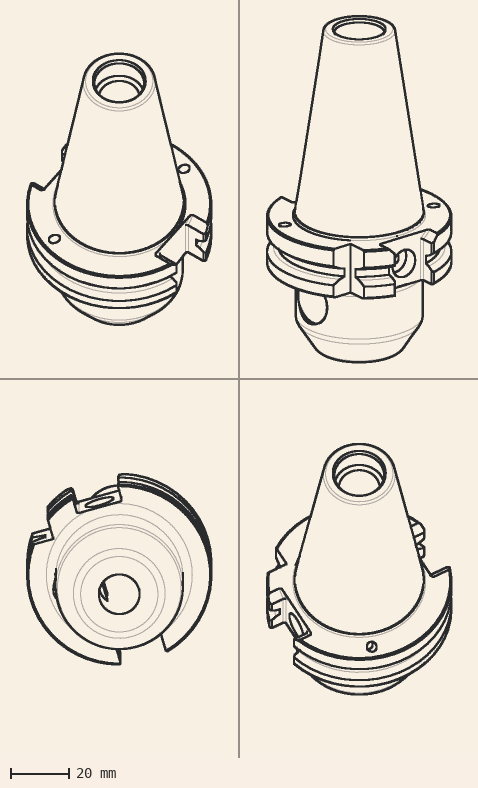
import cadquery as cq
import math

total_height = 118.2
gauge_height = 50.0
flange_top = 49.1
flange_bottom = 31.0
groove_height = 39.1

gauge_radius = 22.2
taper_slope = 7 / 48
taper_top_radius = gauge_radius - (total_height - gauge_height) * taper_slope
taper_top_round = 0.8
neck_radius = 22.0
neck_round = 0.8

flange_radius = 31.7
flange_chamfer = 0.5
groove_floor_radius = 27.9
groove_mouth_width = 7.1
groove_bend_radius = 29.5
groove_bend_width = 4.0
groove_floor_width = 2.8

body_radius = 21.9
body_flange_round = 3.2
nose_height = 10.9
nose_end_radius = 14.9
nose_shoulder_round = 3.9
nose_tip_round = 3.0

bore_radius = 7.0
counterbore_radius = 8.5
counterbore_depth = 8.0
counterbore_mouth_radius = 9.1
mouth_chamfer_depth = 1.1

slot_floors = {-1: 24.7, 1: 22.7}
slot_half_width = 8.0
slot_floor_round = 0.7
slot_top_chamfer = 2.8
slot_flare_start = 29.9

notch_distance = 18.3

chip_radius = 5.0
chip_depth = 5.0
pilot_radius = 1.7
pilot_depth = 5.0

coolant_radius = 1.7
coolant_circle_radius = 27.0
coolant_tilt = 36.0
coolant_length = 14.2
coolant_angles = (70.0, 250.0)

screw_radius = 8.0
screw_height = 22.5
screw_tip = 5.5
screw_tip_chamfer = 2.4
screw_length = 15.0

drill_point_half_angle = 59.0

overcut = 11.8


def turned_blank():
    """Shank, flange and nose as one revolved profile."""
    profile = (
        cq.Workplane("XZ")
        .moveTo(0, 0)
        .lineTo(nose_end_radius, 0)
        .lineTo(body_radius, nose_height)
        .lineTo(body_radius, flange_bottom)
        .lineTo(flange_radius, flange_bottom)
        .lineTo(flange_radius, flange_top)
        .lineTo(neck_radius + neck_round, flange_top)
        .radiusArc((neck_radius, flange_top + neck_round), neck_round)
        .lineTo(neck_radius, gauge_height)
        .lineTo(gauge_radius, gauge_height)
        .lineTo(taper_top_radius, total_height)
        .lineTo(0, total_height)
        .close()
    )
    return profile.revolve(360, (0, 0, 0), (0, 1, 0))


def rim(radius, height):
    """Selector for the circular edge of the given radius at the given height."""
    reach = 0.06
    return cq.selectors.BoxSelector(
        (-radius - reach, -radius - reach, height - reach),
        (radius + reach, radius + reach, height + reach),
        boundingbox=True,
    ) - cq.selectors.BoxSelector(
        (-radius + reach, -radius + reach, height - reach),
        (radius - reach, radius - reach, height + reach),
        boundingbox=True,
    )


def rounded_blank():
    """Turned blank with its rounded and chamfered edges."""
    blank = turned_blank()
    blank = blank.edges(rim(nose_end_radius, 0)).fillet(nose_tip_round)
    blank = blank.edges(rim(body_radius, nose_height)).fillet(nose_shoulder_round)
    blank = blank.edges(rim(body_radius, flange_bottom)).fillet(body_flange_round)
    blank = blank.edges(rim(taper_top_radius, total_height)).fillet(taper_top_round)
    for height in (flange_bottom, flange_top):
        blank = blank.edges(rim(flange_radius, height)).chamfer(flange_chamfer)
    return blank


def flange_groove():
    """Ring that cuts the V-groove; each flank flattens toward the floor at the bend radius."""
    half_mouth = groove_mouth_width / 2
    half_bend = groove_bend_width / 2
    half_floor = groove_floor_width / 2
    return (
        cq.Workplane("XZ", origin=(0, 0, groove_height))
        .moveTo(groove_floor_radius, -half_floor)
        .lineTo(groove_bend_radius, -half_bend)
        .lineTo(flange_radius, -half_mouth)
        .lineTo(flange_radius + overcut, -half_mouth)
        .lineTo(flange_radius + overcut, half_mouth)
        .lineTo(flange_radius, half_mouth)
        .lineTo(groove_bend_radius, half_bend)
        .lineTo(groove_floor_radius, half_floor)
        .close()
        .revolve(360, (0, 0, 0), (0, 1, 0))
    )


def bore():
    """Through bore with a drilled, cone-bottomed counterbore chamfered at the shank end."""
    shoulder = total_height - counterbore_depth
    cone_depth = (counterbore_radius - bore_radius) / math.tan(math.radians(drill_point_half_angle))
    return (
        cq.Workplane("XZ")
        .moveTo(0, 0)
        .lineTo(bore_radius, 0)
        .lineTo(bore_radius, shoulder - cone_depth)
        .lineTo(counterbore_radius, shoulder)
        .lineTo(counterbore_radius, total_height - mouth_chamfer_depth)
        .lineTo(counterbore_mouth_radius, total_height)
        .lineTo(0, total_height)
        .close()
        .revolve(360, (0, 0, 0), (0, 1, 0))
    )


def drive_slot(side):
    """Slot through the flange on the side of +X (1) or -X (-1)."""
    floor = slot_floors[side]
    outer = flange_radius + overcut
    bottom = flange_bottom - overcut
    chamfer_base = flange_top - slot_top_chamfer
    top = flange_top + overcut
    top_half_width = slot_half_width + top - chamfer_base
    channel = (
        cq.Workplane("YZ", origin=(floor, 0, 0))
        .moveTo(-slot_half_width, bottom)
        .lineTo(slot_half_width, bottom)
        .lineTo(slot_half_width, chamfer_base)
        .lineTo(top_half_width, top)
        .lineTo(-top_half_width, top)
        .lineTo(-slot_half_width, chamfer_base)
        .close()
        .extrude(outer - floor)
        .faces("<X")
        .edges()
        .fillet(slot_floor_round)
    )
    flare_half_width = slot_half_width + outer - slot_flare_start
    mouth = (
        cq.Workplane("XY", origin=(0, 0, bottom))
        .moveTo(slot_flare_start, -slot_half_width)
        .lineTo(slot_flare_start, slot_half_width)
        .lineTo(outer, flare_half_width)
        .lineTo(outer, -flare_half_width)
        .close()
        .extrude(top - bottom)
    )
    slot = channel.union(mouth)
    if side < 0:
        slot = slot.mirror("YZ")
    return slot


def orientation_notch():
    """Square-cornered cut through the -X +Y corner of the flange."""
    size = flange_radius
    return (
        cq.Workplane("XY", origin=(-notch_distance, notch_distance, flange_bottom))
        .rect(-size, size, centered=False)
        .extrude(flange_top - flange_bottom)
    )


def chip_pocket():
    """Flat round pocket with a smaller drilled hole in its floor."""
    pocket_floor = slot_floors[-1] - chip_depth
    pilot_end = pocket_floor - pilot_depth
    point_length = pilot_radius / math.tan(math.radians(drill_point_half_angle))
    return (
        cq.Workplane("XZ", origin=(0, 0, groove_height))
        .moveTo(-slot_floors[-1], 0)
        .lineTo(-slot_floors[-1], chip_radius)
        .lineTo(-pocket_floor, chip_radius)
        .lineTo(-pocket_floor, pilot_radius)
        .lineTo(-pilot_end, pilot_radius)
        .lineTo(-pilot_end + point_length, 0)
        .close()
        .revolve(360, (0, 0, 0), (1, 0, 0))
    )


def coolant_hole(angle):
    """Hole that leans toward the axis as it goes down from the flange face."""
    around = math.radians(angle)
    tilt = math.radians(coolant_tilt)
    outward = cq.Vector(math.cos(around), math.sin(around), 0)
    upward = outward * math.sin(tilt) + cq.Vector(0, 0, math.cos(tilt))
    mouth = outward * coolant_circle_radius + cq.Vector(0, 0, flange_top)
    drill = cq.Solid.makeCylinder(
        coolant_radius,
        coolant_length + coolant_radius,
        mouth - upward * coolant_length,
        upward,
    )
    return cq.Workplane(drill)


def screw_cylinder(length):
    """Cylinder on the screw axis, from the screw tip outward along +Y."""
    axis_point = cq.Vector(0, screw_tip, screw_height)
    return cq.Workplane(cq.Solid.makeCylinder(screw_radius, length, axis_point, cq.Vector(0, 1, 0)))


def make_housing():
    housing = rounded_blank().cut(flange_groove()).cut(bore())
    for side in slot_floors:
        housing = housing.cut(drive_slot(side))
    housing = housing.cut(orientation_notch()).cut(chip_pocket())
    for angle in coolant_angles:
        housing = housing.cut(coolant_hole(angle))
    return housing.cut(screw_cylinder(body_radius))


def make_clamping_screw():
    return screw_cylinder(screw_length).faces("<Y").chamfer(screw_tip_chamfer)


housing = make_housing()
clamping_screw = make_clamping_screw()

result = cq.Compound.makeCompound([housing.val(), clamping_screw.val()])